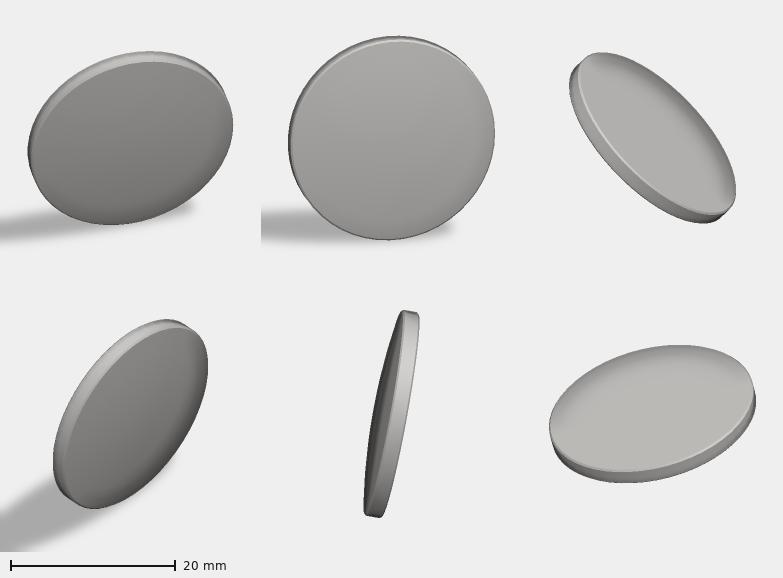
import cadquery as cq

diameter = 25.4
thickness = 3.1
bevel = 0.2
flat_rim_end = 1.85
dome_start = 2.05

radius = diameter / 2
bevel_radius = radius - bevel

dome_height = thickness - dome_start
sphere_radius = (bevel_radius**2 + dome_height**2) / (2 * dome_height)
mid_radius = bevel_radius / 2
mid_x = thickness - sphere_radius + (sphere_radius**2 - mid_radius**2) ** 0.5

half_section = (
    cq.Workplane("XY")
    .moveTo(0, 0)
    .lineTo(0, bevel_radius)
    .lineTo(bevel, radius)
    .lineTo(flat_rim_end, radius)
    .lineTo(dome_start, bevel_radius)
    .threePointArc((mid_x, mid_radius), (thickness, 0))
    .close()
)

result = half_section.revolve(axisStart=(0, 0, 0), axisEnd=(1, 0, 0))